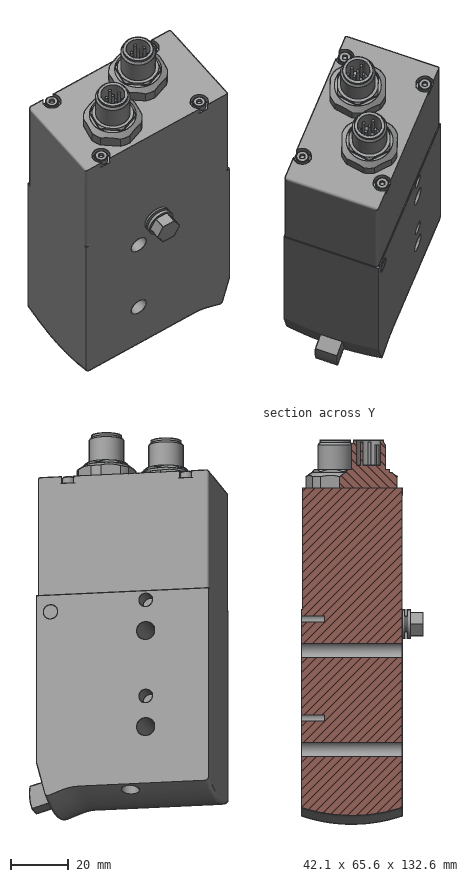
import cadquery as cq
import math

WIDTH = 34.9
DEPTH = 60.5
TOP_Z = 116.3
STEP_Z = 74.4
LEFT = -WIDTH / 2
RIGHT = WIDTH / 2
FRONT = -DEPTH / 2
BACK = DEPTH / 2

STEP_BACK = 0.4
UPPER_EDGE_ROUND = 0.9

BELLY_Z = 3.2
BELLY_SAG = 2.8
UNDERSIDE_HEIGHT = 19.9
NOSE_TILT = 20.0
NOSE_BEND_Y = 17.8
NOSE_BEND_RADIUS = 13.3
NOSE_FACE_TOP_Z = 12.4
NOSE_FACE_LEAN = 15.0
NOSE_FACE_SAG = 0.7
FRONT_EDGE_ROUND = 1.3
NOSE_EDGE_ROUND = 1.0

BLOCK_WIDTH = 8.0
BLOCK_ROOT_TOP = (25.8, 12.6)
BLOCK_END_TOP = (35.2, 10.1)
BLOCK_END_MIDDLE = (35.3, 5.8)
BLOCK_END_BOTTOM = (34.5, 2.1)
BLOCK_ROOT_BOTTOM = (25.8, 4.6)

SIDE_HOLE_Y = -8.1
THROUGH_DIAMETER = 6.4
BLIND_DIAMETER = 4.8
BLIND_DEPTH = 8.0
THROUGH_LOW_Z = 26.0
BLIND_LOW_Z = 36.9
SIDE_HOLE_PITCH = 34.1
SIDE_HOLE_ROWS = 2
SPOT_DIAMETER = 5.0
SPOT_DEPTH = 0.1
SPOT_Y = 25.4
SPOT_Z = 68.4

BELLY_HOLE_DIAMETER = 6.2
BELLY_HOLE_X = -13.4
BELLY_HOLE_Y = -2.0
BELLY_HOLE_TOP_Z = 10.6

SCREW_X = 14.7
SCREW_YS = (19.4, -22.0)
SCREW_RECESS_DIAMETER = 6.2
SCREW_RECESS_DEPTH = 2.4
SCREW_HEAD_DIAMETER = 4.5
SCREW_HEAD_CHAMFER = 0.3
SCREW_SOCKET_DIAMETER = 1.9
SCREW_SOCKET_DEPTH = 1.0

CONNECTOR_PLACES = ((-5.7, 8.0), (5.7, -10.8))
CONNECTOR_HEIGHT = 132.8 - TOP_Z
CONNECTOR_TURN = -10.0
BARREL_DIAMETER = 12.0
TIP_DIAMETER = 10.5
TIP_LENGTH = 0.8
TIP_TAPER = 0.8
NUT_ACROSS_FLATS = 19.1
NUT_DIAMETER = 20.3
NUT_TOP_DIAMETER = 16.2
NUT_HEIGHT = 5.3
NUT_BEVEL = 1.5
COLLAR_ACROSS_FLATS = 14.1
COLLAR_DIAMETER = 15.7
COLLAR_TOP_DIAMETER = 14.3
COLLAR_HEIGHT = 6.4
COLLAR_BEVEL = 0.7
BORE_DIAMETER = 8.2
BORE_DEPTH = 8.6
PIN_DIAMETER = 1.0
PIN_CIRCLE_RADIUS = 2.4
PIN_SINK = 0.7
KEY_WIDTH = 1.0
KEY_REACH = 3.0
KEY_SINK = 1.6
KEY_TURN = 45.0

EARTH_Y = -0.5
EARTH_Z = 69.3
EARTH_FLANGE_DIAMETER = 10.0
EARTH_NECK_DIAMETER = 5.5
EARTH_WASHER_END = 0.8
EARTH_NECK_END = 1.6
EARTH_FLANGE_END = 2.8
EARTH_TOTAL = 7.2
EARTH_ACROSS_FLATS = 8.1


def box_between(x0, x1, y0, y1, z0, z1):
    return cq.Workplane("XY").box(x1 - x0, y1 - y0, z1 - z0, centered=False).translate((x0, y0, z0))


def hexagon_prism(across_flats, height):
    """Hexagonal prism standing on Z = 0 with corners on the X axis."""
    return cq.Workplane("XY").polygon(6, across_flats / math.cos(math.pi / 6)).extrude(height)


def bowed_underside():
    """Bowed section swept along Y, then round the bend and down along the tilted nose."""
    tilt = math.radians(NOSE_TILT)
    bend_half_length = NOSE_BEND_RADIUS * math.tan(tilt / 2)
    bend_start = NOSE_BEND_Y - bend_half_length
    bend_end = NOSE_BEND_Y + bend_half_length * math.cos(tilt)
    bend_middle = bend_start + NOSE_BEND_RADIUS * math.sin(tilt / 2)
    bend_middle_drop = NOSE_BEND_RADIUS * (1 - math.cos(tilt / 2))
    bend_end_drop = NOSE_BEND_RADIUS * (1 - math.cos(tilt))
    nose_run = BACK - NOSE_BEND_Y + NOSE_FACE_TOP_Z
    path = (
        cq.Workplane("YZ")
        .moveTo(FRONT, BELLY_Z)
        .lineTo(bend_start, BELLY_Z)
        .threePointArc((bend_middle, BELLY_Z - bend_middle_drop), (bend_end, BELLY_Z - bend_end_drop))
        .line(nose_run * math.cos(tilt), -nose_run * math.sin(tilt))
    )
    section = (
        cq.Workplane("XZ", origin=(0, FRONT, BELLY_Z))
        .moveTo(LEFT, UNDERSIDE_HEIGHT)
        .lineTo(LEFT, BELLY_SAG)
        .threePointArc((0, 0), (RIGHT, BELLY_SAG))
        .lineTo(RIGHT, UNDERSIDE_HEIGHT)
        .close()
    )
    return section.sweep(path)


def behind_nose_face():
    """Everything on the housing side of the leaning, bowed face of the nose."""
    reach = 2 * STEP_Z
    return (
        cq.Workplane("XY")
        .moveTo(LEFT, -NOSE_FACE_SAG)
        .threePointArc((0, 0), (RIGHT, -NOSE_FACE_SAG))
        .lineTo(RIGHT, -reach)
        .lineTo(LEFT, -reach)
        .close()
        .extrude(reach, both=True)
        .rotate((0, 0, 0), (1, 0, 0), -NOSE_FACE_LEAN)
        .translate((0, BACK, NOSE_FACE_TOP_Z))
    )


def lower_block():
    block = box_between(LEFT, RIGHT, FRONT, BACK, NOSE_FACE_TOP_Z, STEP_Z)
    block = bowed_underside().union(block)
    block = block.intersect(box_between(LEFT, RIGHT, FRONT, BACK, -STEP_Z, STEP_Z))
    block = block.intersect(behind_nose_face())
    block = block.faces("<Y").edges("<Z").fillet(FRONT_EDGE_ROUND)
    return block.edges("<Z").fillet(NOSE_EDGE_ROUND)


def upper_block():
    block = box_between(LEFT + STEP_BACK, RIGHT, FRONT, BACK - STEP_BACK, STEP_Z, TOP_Z)
    return block.edges("|Z or (|X and >Z)").fillet(UPPER_EDGE_ROUND)


def nose_block():
    """Small block pushed out of the nose face, with a gently curved end."""
    return (
        cq.Workplane("YZ", origin=(-BLOCK_WIDTH / 2, 0, 0))
        .moveTo(*BLOCK_ROOT_TOP)
        .lineTo(*BLOCK_END_TOP)
        .threePointArc(BLOCK_END_MIDDLE, BLOCK_END_BOTTOM)
        .lineTo(*BLOCK_ROOT_BOTTOM)
        .close()
        .extrude(BLOCK_WIDTH)
    )


def side_hole(y, z, diameter, depth):
    return cq.Workplane("YZ", origin=(LEFT, y, z)).circle(diameter / 2).extrude(depth)


def cover_screw():
    head = cq.Workplane("XY").circle(SCREW_HEAD_DIAMETER / 2).extrude(SCREW_RECESS_DEPTH)
    head = head.faces(">Z").chamfer(SCREW_HEAD_CHAMFER)
    return head.faces(">Z").workplane().hole(SCREW_SOCKET_DIAMETER, SCREW_SOCKET_DEPTH)


def make_housing():
    body = lower_block().union(upper_block()).union(nose_block())
    for row in range(SIDE_HOLE_ROWS):
        rise = row * SIDE_HOLE_PITCH
        body = body.cut(side_hole(SIDE_HOLE_Y, THROUGH_LOW_Z + rise, THROUGH_DIAMETER, WIDTH))
        body = body.cut(side_hole(SIDE_HOLE_Y, BLIND_LOW_Z + rise, BLIND_DIAMETER, BLIND_DEPTH))
    body = body.cut(side_hole(SPOT_Y, SPOT_Z, SPOT_DIAMETER, SPOT_DEPTH))

    belly_hole = cq.Workplane("XY").circle(BELLY_HOLE_DIAMETER / 2).extrude(BELLY_HOLE_TOP_Z)
    body = body.cut(belly_hole.translate((BELLY_HOLE_X, BELLY_HOLE_Y, 0)))

    recess = cq.Workplane("XY").circle(SCREW_RECESS_DIAMETER / 2).extrude(SCREW_RECESS_DEPTH)
    for x in (-SCREW_X, SCREW_X):
        for y in SCREW_YS:
            place = (x, y, TOP_Z - SCREW_RECESS_DEPTH)
            body = body.cut(recess.translate(place))
            body = body.union(cover_screw().translate(place))
    return body


def bevelled_hexagon(across_flats, diameter, top_diameter, height, bevel):
    """Hexagon with its corners turned to a cylinder and a cone at the top."""
    turned = (
        cq.Workplane("XZ")
        .polyline(
            [
                (0, 0),
                (diameter / 2, 0),
                (diameter / 2, height - bevel),
                (top_diameter / 2, height),
                (0, height),
            ]
        )
        .close()
        .revolve(360, (0, 0, 0), (0, 1, 0))
    )
    return hexagon_prism(across_flats, height).intersect(turned)


def make_connector():
    """Plug connector standing on Z = 0, with a nut, a collar, a barrel and five pins."""
    height = CONNECTOR_HEIGHT
    barrel = (
        cq.Workplane("XZ")
        .polyline(
            [
                (0, 0),
                (BARREL_DIAMETER / 2, 0),
                (BARREL_DIAMETER / 2, height - TIP_LENGTH - TIP_TAPER),
                (TIP_DIAMETER / 2, height - TIP_LENGTH),
                (TIP_DIAMETER / 2, height),
                (0, height),
            ]
        )
        .close()
        .revolve(360, (0, 0, 0), (0, 1, 0))
    )
    nut = bevelled_hexagon(NUT_ACROSS_FLATS, NUT_DIAMETER, NUT_TOP_DIAMETER, NUT_HEIGHT, NUT_BEVEL)
    collar = bevelled_hexagon(
        COLLAR_ACROSS_FLATS, COLLAR_DIAMETER, COLLAR_TOP_DIAMETER, COLLAR_HEIGHT, COLLAR_BEVEL
    )
    floor_z = height - BORE_DEPTH
    body = barrel.union(nut).union(collar)
    body = body.cut(cq.Workplane("XY", origin=(0, 0, floor_z)).circle(BORE_DIAMETER / 2).extrude(BORE_DEPTH))

    ring = [
        (PIN_CIRCLE_RADIUS * math.cos(angle), PIN_CIRCLE_RADIUS * math.sin(angle))
        for angle in (0, math.pi / 2, math.pi, 3 * math.pi / 2)
    ]
    pins = (
        cq.Workplane("XY", origin=(0, 0, floor_z))
        .pushPoints([(0, 0)] + ring)
        .circle(PIN_DIAMETER / 2)
        .extrude(BORE_DEPTH - PIN_SINK)
    )
    wall_radius = (BORE_DIAMETER + TIP_DIAMETER) / 4
    key = box_between(
        KEY_REACH, wall_radius, -KEY_WIDTH / 2, KEY_WIDTH / 2, floor_z, height - KEY_SINK
    ).rotate((0, 0, 0), (0, 0, 1), KEY_TURN)
    body = body.union(pins).union(key)
    return body.rotate((0, 0, 0), (0, 0, 1), CONNECTOR_TURN)


def disc(diameter, start, end):
    return cq.Workplane("XY", origin=(0, 0, start)).circle(diameter / 2).extrude(end - start)


def make_earth_screw():
    """Screw with a washer, standing on the right side of the housing and pointing along X."""
    screw = disc(EARTH_FLANGE_DIAMETER, 0, EARTH_WASHER_END)
    screw = screw.union(disc(EARTH_NECK_DIAMETER, 0, EARTH_FLANGE_END))
    screw = screw.union(disc(EARTH_FLANGE_DIAMETER, EARTH_NECK_END, EARTH_FLANGE_END))
    head = hexagon_prism(EARTH_ACROSS_FLATS, EARTH_TOTAL - EARTH_FLANGE_END)
    head = head.rotate((0, 0, 0), (0, 0, 1), 90).translate((0, 0, EARTH_FLANGE_END))
    screw = screw.union(head)
    return screw.rotate((0, 0, 0), (0, 1, 0), 90).translate((RIGHT, EARTH_Y, EARTH_Z))


housing = make_housing()
connectors = [make_connector().translate((x, y, TOP_Z)) for x, y in CONNECTOR_PLACES]
earth_screw = make_earth_screw()

result = cq.Compound.makeCompound(
    [housing.val(), earth_screw.val()] + [connector.val() for connector in connectors]
)